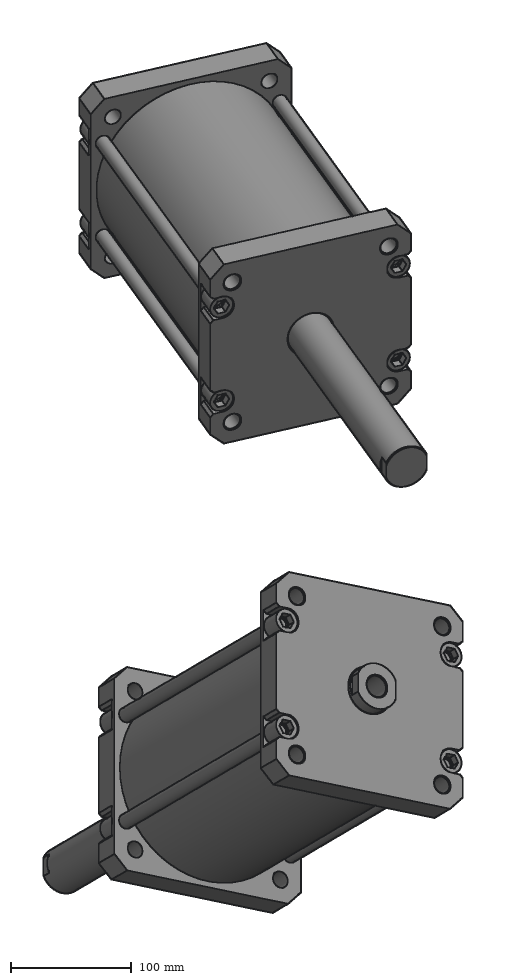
import cadquery as cq
import math

total_length = 511.5
stub_length = 12.0
plate_thickness = 25.5
barrel_length = 237.5
rear_plate_x = stub_length
barrel_x = rear_plate_x + plate_thickness
front_plate_x = barrel_x + barrel_length
front_face_x = front_plate_x + plate_thickness

plate_width = 180.0
plate_corner_chamfer = 12.5
mount_hole_offset = 70.0
mount_hole_diameter = 14.5
hole_edge_chamfer = 0.9

barrel_diameter = 170.0

tie_rod_y = 79.5
tie_rod_z = 47.0
tie_rod_diameter = 13.0
head_diameter = 20.5
head_recess = 1.3
socket_across_corners = 14.0
socket_depth = 7.5
pilot_diameter = 10.5
pilot_depth = 2.5

pocket_width = 21.5
pocket_depth = 21.0
pocket_lip_chamfer = 2.8
head_length = pocket_depth - head_recess

rod_diameter = 40.0
rod_flat_width = 36.5
rod_flat_length = 9.5
rod_tip_chamfer = 0.75
rod_bore_diameter = 18.5
rod_bore_depth = 30.5
drill_point_angle = 118

hole_sides = (-mount_hole_offset, mount_hole_offset)
mount_hole_positions = [(y, z) for y in hole_sides for z in hole_sides]
tie_rod_positions = [(y, z) for y in (-tie_rod_y, tie_rod_y) for z in (-tie_rod_z, tie_rod_z)]


def cylinder_x(x_start, length, diameter, y=0.0, z=0.0):
    """Cylinder along +X that starts at x_start."""
    return cq.Workplane("YZ", origin=(x_start, y, z)).circle(diameter / 2).extrude(length)


def head_pocket(outer_face_x, inward, y, z):
    """Round-bottomed slot for one tie rod head, with a flared mouth at the plate's side."""
    side = 1 if y > 0 else -1
    half_width = pocket_width / 2
    plate_edge = side * plate_width / 2
    mouth = half_width + pocket_lip_chamfer
    outline = (
        cq.Workplane("YZ", origin=(outer_face_x, 0, 0))
        .moveTo(y, z + half_width)
        .lineTo(plate_edge - side * pocket_lip_chamfer, z + half_width)
        .lineTo(plate_edge, z + mouth)
        .lineTo(plate_edge, z - mouth)
        .lineTo(plate_edge - side * pocket_lip_chamfer, z - half_width)
        .lineTo(y, z - half_width)
        .threePointArc((y - side * half_width, z), (y, z + half_width))
        .close()
    )
    return outline.extrude(inward * pocket_depth)


def end_plate(x_start, outer_face_x):
    """Square plate with cut corners, mounting holes and tie rod pockets in its outer face."""
    inward = 1 if outer_face_x == x_start else -1
    plate = (
        cq.Workplane("YZ", origin=(x_start, 0, 0))
        .rect(plate_width, plate_width)
        .extrude(plate_thickness)
        .edges("|X")
        .chamfer(plate_corner_chamfer)
    )
    plate = plate.cut(cylinder_x(x_start, plate_thickness, rod_diameter))
    for y, z in mount_hole_positions:
        plate = plate.cut(cylinder_x(x_start, plate_thickness, mount_hole_diameter, y, z))
    outer_face = "<X" if inward > 0 else ">X"
    plate = plate.faces(outer_face).edges("%CIRCLE").chamfer(hole_edge_chamfer)
    for y, z in tie_rod_positions:
        plate = plate.cut(cylinder_x(x_start, plate_thickness, tie_rod_diameter, y, z))
        plate = plate.cut(head_pocket(outer_face_x, inward, y, z))
    return plate


def make_barrel():
    """Cylinder body between the plates, bored for the piston rod."""
    barrel = cylinder_x(barrel_x, barrel_length, barrel_diameter)
    return barrel.cut(cylinder_x(barrel_x, barrel_length, rod_diameter))


def tie_rod(y, z):
    """Rod through both plates with a hex socket head at each end."""
    rear_end_x = rear_plate_x + head_recess
    front_end_x = front_face_x - head_recess
    rod = cylinder_x(rear_end_x, front_end_x - rear_end_x, tie_rod_diameter, y, z)
    for head_x in (rear_end_x, front_end_x - head_length):
        rod = rod.union(cylinder_x(head_x, head_length, head_diameter, y, z))
    for face_x, inward in ((rear_end_x, 1), (front_end_x, -1)):
        socket = (
            cq.Workplane("YZ", origin=(face_x, y, z))
            .polygon(6, socket_across_corners)
            .extrude(inward * socket_depth)
        )
        pilot = (
            cq.Workplane("YZ", origin=(face_x + inward * socket_depth, y, z))
            .circle(pilot_diameter / 2)
            .extrude(inward * pilot_depth)
        )
        rod = rod.cut(socket).cut(pilot)
    return rod


def make_piston_rod():
    """Rod through the whole cylinder, with wrench flats at both ends and a drilled rear end."""
    rod = cylinder_x(0, total_length, rod_diameter)
    rod = rod.faces(">X").chamfer(rod_tip_chamfer)
    for flat_x in (0, total_length - rod_flat_length):
        for side in (-1, 1):
            flat_cut = (
                cq.Workplane("YZ", origin=(flat_x, side * (rod_flat_width + rod_diameter) / 2, 0))
                .rect(rod_diameter, rod_diameter)
                .extrude(rod_flat_length)
            )
            rod = rod.cut(flat_cut)
    bore_radius = rod_bore_diameter / 2
    point_length = bore_radius / math.tan(math.radians(drill_point_angle / 2))
    bore = (
        cq.Workplane("XY")
        .polyline([
            (0, 0),
            (0, bore_radius + hole_edge_chamfer),
            (hole_edge_chamfer, bore_radius),
            (rod_bore_depth, bore_radius),
            (rod_bore_depth + point_length, 0),
        ])
        .close()
        .revolve(360, (0, 0, 0), (1, 0, 0))
    )
    return rod.cut(bore)


rear_plate = end_plate(rear_plate_x, rear_plate_x)
front_plate = end_plate(front_plate_x, front_face_x)
barrel = make_barrel()
piston_rod = make_piston_rod()
tie_rods = [tie_rod(y, z) for y, z in tie_rod_positions]

result = cq.Compound.makeCompound([
    rear_plate.val(),
    front_plate.val(),
    barrel.val(),
    piston_rod.val(),
    *[rod.val() for rod in tie_rods],
])